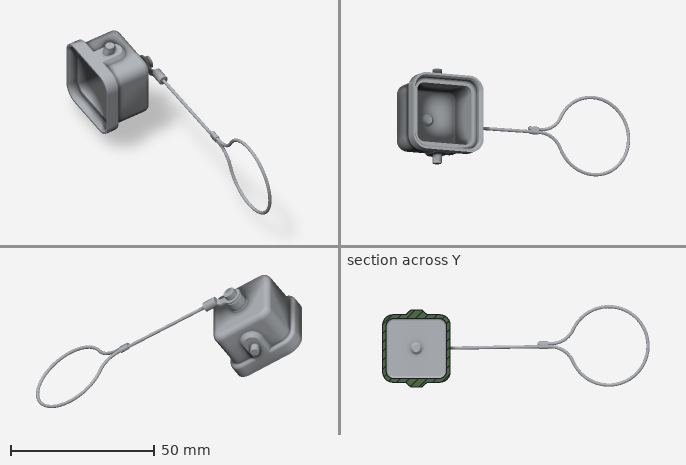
import cadquery as cq
import math


cap_size = 27.1
cap_corner_radius = 5.2
flange_depth = 5.1
flange_edge_radius = 1.1
body_size = 23.8
body_corner_radius = 3.8
body_depth = 18.9
body_edge_radius = 2.1

seat_size = 24.5
seat_corner_radius = 4.0
seat_depth = 3.3
mouth_chamfer = 0.6
mouth_chamfer_depth = 0.95
cavity_size = 20.9
cavity_corner_radius = 2.7
back_wall = 1.6
floor_radius = 0.9
floor_y = body_depth - back_wall

rivet_base_radius = 2.2
rivet_tip_radius = 1.3
rivet_height = 0.95

overall_height = 33.5
lug_center_y = 11.0
lug_base_radius = 4.4
lug_top_radius = 2.95
pin_radius = 1.6
pin_center_y = 9.4
pin_chamfer = 0.2
gusset_base_radius = 1.4
gusset_tip_radius = 1.3
gusset_base_y = 8.1
gusset_tip_y = 9.3

boss_radius = 3.0
boss_top_y = 22.7
boss_foot_chamfer = 0.5
stud_radius = 2.2
stud_top_y = 25.9
eyelet_radius = 3.3
eyelet_y = 23.1
eyelet_thickness = 0.8
tab_width = 2.9
tab_bend_x = 4.8
tab_rise = 1.2

overall_length = 95.2
overall_depth = 26.7
ferrule_radius = 1.7
ferrule_start_x = 5.7
ferrule_length = 4.9
cable_radius = 0.6
cable_y = overall_depth - ferrule_radius
sleeve_start_x = 42.9
sleeve_length = 3.2
sleeve_height = 2.8
sleeve_thickness = 1.7
free_end_length = 0.5
lower_leg_z = 0.6
leg_spacing = 1.0
upper_leg_z = lower_leg_z + leg_spacing
loop_radius = 13.7
loop_z = 0.9
loop_x = overall_length - cap_size / 2 - loop_radius - cable_radius
leg_bend_radius = 8.6

overlap = 0.5
sliver = 0.01


def facing_back(y):
    """Workplane at the given Y, square to the Y axis, extruding toward +Y."""
    return cq.Workplane(cq.Plane((0, y, 0), (-1, 0, 0), (0, 1, 0)))


def rounded_block(size, corner_radius, y_start, y_end):
    block = facing_back(y_start).rect(size, size).extrude(y_end - y_start)
    return block.edges("|Y").fillet(corner_radius)


def disc(radius, y_start, y_end):
    return facing_back(y_start).circle(radius).extrude(y_end - y_start)


def make_shell():
    flange = rounded_block(cap_size, cap_corner_radius, 0, flange_depth)
    flange = flange.faces(">Y").edges().fillet(flange_edge_radius)
    body = rounded_block(body_size, body_corner_radius, 0, body_depth)
    return flange.union(body.faces(">Y").edges().fillet(body_edge_radius))


def make_cavity():
    seat = rounded_block(seat_size, seat_corner_radius, 0, seat_depth)
    mouth_size = seat_size + 2 * mouth_chamfer
    mouth = rounded_block(mouth_size, seat_corner_radius + mouth_chamfer, 0, mouth_chamfer_depth)
    seat = seat.union(mouth.faces(">Y").edges().chamfer(mouth_chamfer_depth - sliver, mouth_chamfer))
    cavity = rounded_block(cavity_size, cavity_corner_radius, 0, floor_y)
    return seat.union(cavity.faces(">Y").edges().fillet(floor_radius))


def lug_outline(radius, z):
    """Arch-shaped outline reaching from inside the flange to a round end."""
    return (
        cq.Workplane("XY", origin=(0, 0, z))
        .moveTo(-radius, flange_depth / 2)
        .lineTo(-radius, lug_center_y)
        .threePointArc((0, lug_center_y + radius), (radius, lug_center_y))
        .lineTo(radius, flange_depth / 2)
        .close()
    )


def make_lug():
    """Sloped arch lug with its gusseted locking pin, on the +Z side."""
    lug_base_z = body_size / 2
    lug_top_z = cap_size / 2
    base = lug_outline(lug_base_radius, lug_base_z).val()
    top = lug_outline(lug_top_radius, lug_top_z).val()
    lug = cq.Workplane(cq.Solid.makeLoft([base, top], True))
    root = lug_outline(lug_base_radius, lug_base_z - overlap).extrude(overlap)
    pin_base_z = lug_top_z - overlap
    pin_tip_z = overall_height / 2
    pin = (
        cq.Workplane("XY", origin=(0, pin_center_y, pin_base_z))
        .circle(pin_radius)
        .extrude(pin_tip_z - pin_base_z)
        .faces(">Z")
        .chamfer(pin_chamfer)
    )
    gusset = (
        cq.Workplane("XY", origin=(0, gusset_base_y, pin_base_z))
        .circle(gusset_base_radius)
        .workplane(offset=pin_tip_z - pin_chamfer - pin_base_z)
        .center(0, gusset_tip_y - gusset_base_y)
        .circle(gusset_tip_radius)
        .loft(ruled=True)
    )
    return lug.union(root).union(pin).union(gusset)


def make_rivet_end():
    """Cone frustum standing on the cavity floor."""
    return (
        facing_back(floor_y - rivet_height)
        .circle(rivet_tip_radius)
        .workplane(offset=rivet_height)
        .circle(rivet_base_radius)
        .loft(ruled=True)
    )


def make_stud():
    boss = disc(boss_radius, body_depth - overlap, boss_top_y)
    foot_top_y = body_depth + boss_foot_chamfer
    foot = disc(boss_radius + boss_foot_chamfer, body_depth - overlap, foot_top_y)
    foot = foot.faces(">Y").chamfer(boss_foot_chamfer - sliver)
    return boss.union(foot).union(disc(stud_radius, boss_top_y - overlap, stud_top_y))


def make_eyelet():
    """Ring around the stud with a bent tab that carries the cable ferrule."""
    ring = disc(eyelet_radius, eyelet_y, eyelet_y + eyelet_thickness)
    tab_end_x = ferrule_start_x + overlap
    tab = (
        cq.Workplane("XY")
        .moveTo(0, eyelet_y)
        .lineTo(tab_bend_x, eyelet_y)
        .lineTo(tab_end_x, eyelet_y + tab_rise)
        .lineTo(tab_end_x, eyelet_y + tab_rise + eyelet_thickness)
        .lineTo(tab_bend_x, eyelet_y + eyelet_thickness)
        .lineTo(0, eyelet_y + eyelet_thickness)
        .close()
        .extrude(tab_width / 2, both=True)
    )
    ferrule = (
        cq.Workplane("YZ", origin=(ferrule_start_x, cable_y, 0))
        .circle(ferrule_radius)
        .extrude(ferrule_length)
    )
    return ring.union(tab).union(ferrule)


def make_lead():
    """Straight cable rising slightly from the ferrule to the sleeve."""
    start = cq.Vector(ferrule_start_x + ferrule_length / 2, cable_y, 0)
    end = cq.Vector(sleeve_start_x + overlap, cable_y, lower_leg_z)
    run = end - start
    return cq.Workplane(cq.Solid.makeCylinder(cable_radius, run.Length, start, run))


def leg_bend(leg_z, side):
    """Start, middle and end of the arc from a straight leg (side +1 above, -1 below) to the loop."""
    reach = loop_radius + leg_bend_radius
    center_z = leg_z + side * leg_bend_radius
    slope = math.asin(side * (center_z - loop_z) / reach)
    center_x = loop_x - reach * math.cos(slope)
    turn = math.pi / 2 - slope

    def point(angle):
        x = center_x + leg_bend_radius * math.sin(angle)
        z = center_z - side * leg_bend_radius * math.cos(angle)
        return (x, z)

    return point(0), point(turn / 2), point(turn)


def make_loop():
    """Cable loop whose two legs meet in the sleeve."""
    upper_start, upper_mid, upper_end = leg_bend(upper_leg_z, 1)
    lower_start, lower_mid, lower_end = leg_bend(lower_leg_z, -1)
    free_end_x = sleeve_start_x - free_end_length
    path = (
        cq.Workplane("XZ", origin=(0, cable_y, 0))
        .moveTo(free_end_x, upper_leg_z)
        .lineTo(*upper_start)
        .threePointArc(upper_mid, upper_end)
        .threePointArc((loop_x + loop_radius, loop_z), lower_end)
        .threePointArc(lower_mid, lower_start)
        .lineTo(sleeve_start_x + sleeve_length / 2, lower_leg_z)
    )
    section = cq.Workplane("YZ", origin=(free_end_x, cable_y, upper_leg_z)).circle(cable_radius)
    return section.sweep(path)


def make_sleeve():
    """Crimped sleeve with an oval section holding both cable legs."""
    middle_z = (lower_leg_z + upper_leg_z) / 2
    return (
        cq.Workplane("YZ", origin=(sleeve_start_x, cable_y, middle_z))
        .slot2D(sleeve_height, sleeve_thickness, 90)
        .extrude(sleeve_length)
    )


upper_lug = make_lug()
lower_lug = upper_lug.mirror("XY")
cable = make_sleeve().union(make_loop()).union(make_lead())
result = (
    make_shell()
    .union(upper_lug)
    .union(lower_lug)
    .cut(make_cavity())
    .union(make_rivet_end())
    .union(make_stud())
    .union(make_eyelet())
    .union(cable)
)